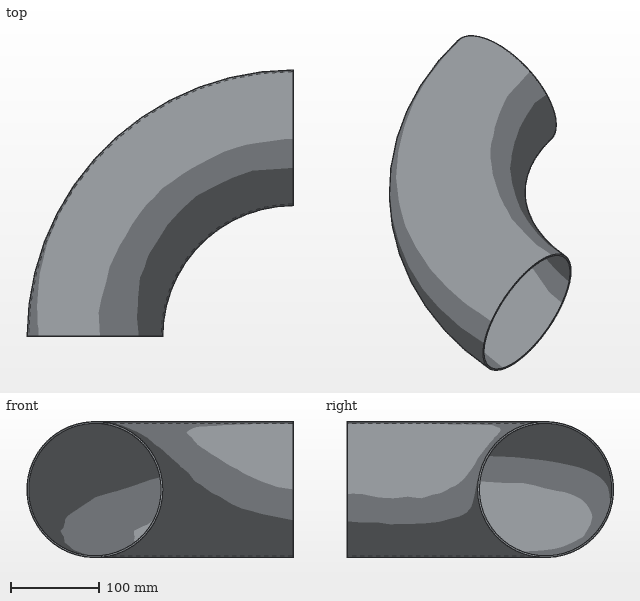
import cadquery as cq

overall_length = 302.0
outer_radius = 77.0
wall = 2.0
bend_angle = 90.0

inner_radius = outer_radius - wall
bend_radius = overall_length - outer_radius

pipe_section = cq.Workplane("XZ").circle(outer_radius).circle(inner_radius)

axis_start = (bend_radius, 0)
axis_end = (bend_radius, -1)
result = pipe_section.revolve(bend_angle, axis_start, axis_end)